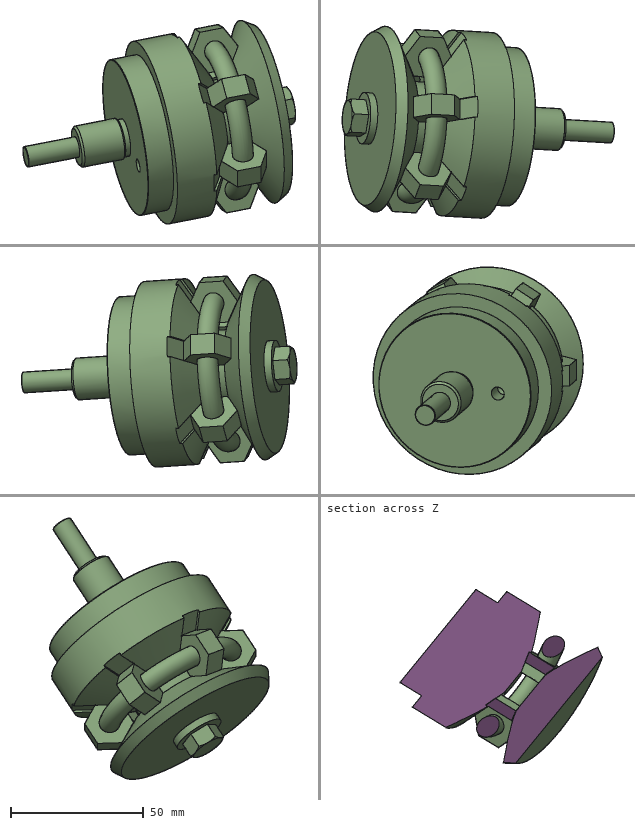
import cadquery as cq
import math


outer_diameter = 70.5
flank_angle = math.radians(30)

jaw_count = 6
hex_sides = 6
jaw_across_flats = 16.0
jaw_thickness = 8.0
ring_radius = 4.0

slot_depth = 1.0

hub_radius = 15.0
plate_back_y = 17.9

housing_body_length = 15.6
spigot_radius = 30.0
spigot_length = 10.0
spigot_chamfer = 0.2
blind_hole_radius = 2.5
blind_hole_offset = 17.0
blind_hole_depth = 8.4
drill_tip_half_angle = math.radians(59)

total_length = 104.7
washer_radius = 9.7
washer_thickness = 2.8
hex_across_flats = 12.8
hex_height = 6.3
hex_chamfer_angle = math.radians(30)
shank_radius = 7.2
neck_length = 2.0
collar_radius = 8.0
collar_length = 17.2
collar_rear_chamfer = 0.6
collar_front_chamfer = 0.8
tip_radius = 4.0
tip_chamfer = 0.2

outer_radius = outer_diameter / 2
flank_slope = math.tan(flank_angle)
jaw_apothem = jaw_across_flats / 2
jaw_half_side = jaw_apothem * math.tan(math.pi / hex_sides)
jaw_circle_radius = outer_radius - jaw_apothem
cone_small_radius = jaw_circle_radius - jaw_apothem
cone_length = (outer_radius - cone_small_radius) * flank_slope

plate_rim_y = jaw_half_side + cone_length
plate_back_radius = outer_radius - (plate_back_y - plate_rim_y) * flank_slope

slot_rim_y = -plate_rim_y
housing_rim_y = slot_rim_y + slot_depth / math.cos(flank_angle)
housing_nose_y = housing_rim_y + cone_length
housing_step_y = housing_rim_y - housing_body_length
housing_front_y = housing_step_y - spigot_length

washer_back_y = plate_back_y + washer_thickness
hex_top_y = washer_back_y + hex_height
collar_rear_y = housing_front_y - neck_length
collar_front_y = collar_rear_y - collar_length
tip_y = hex_top_y - total_length


def revolve_about_y(points):
    """Solid of revolution about Y from a closed (radius, y) outline."""
    return cq.Workplane("XY").polyline(points).close().revolve(360, (0, 0, 0), (0, 1, 0))


def corner_diameter(across_flats):
    """Diameter through the corners of a regular hexagon."""
    return across_flats / math.cos(math.pi / hex_sides)


def around_axis(body):
    """Copies of a body at the angle of every jaw."""
    return [body.rotate((0, 0, 0), (0, 1, 0), i * 360 / jaw_count) for i in range(jaw_count)]


def make_housing():
    """Front cone with its spigot, jaw slots, through bore and drilled blind hole."""
    housing = revolve_about_y([
        (shank_radius, housing_nose_y),
        (cone_small_radius, housing_nose_y),
        (outer_radius, housing_rim_y),
        (outer_radius, housing_step_y),
        (spigot_radius, housing_step_y),
        (spigot_radius, housing_front_y + spigot_chamfer),
        (spigot_radius - spigot_chamfer, housing_front_y),
        (shank_radius, housing_front_y),
    ])

    floor_inner_radius = cone_small_radius - (housing_nose_y + jaw_half_side) / flank_slope
    floor_outer_radius = outer_radius + slot_depth
    floor_outer_y = slot_rim_y - slot_depth * flank_slope
    slot = (
        cq.Workplane("XY")
        .moveTo(floor_inner_radius, housing_nose_y)
        .lineTo(floor_outer_radius, floor_outer_y)
        .lineTo(floor_outer_radius, housing_nose_y)
        .close()
        .extrude(jaw_thickness / 2, both=True)
    )
    for cutter in around_axis(slot):
        housing = housing.cut(cutter)

    drill_tip_length = blind_hole_radius / math.tan(drill_tip_half_angle)
    hole_end_y = housing_front_y + blind_hole_depth
    drill = revolve_about_y([
        (0, housing_front_y),
        (blind_hole_radius, housing_front_y),
        (blind_hole_radius, hole_end_y),
        (0, hole_end_y + drill_tip_length),
    ]).translate((blind_hole_offset, 0, 0))
    return housing.cut(drill)


def make_clamp_plate():
    """Rear cone with a bevelled back edge and a hub that rests on the nose of the housing."""
    return revolve_about_y([
        (shank_radius, plate_back_y),
        (plate_back_radius, plate_back_y),
        (outer_radius, plate_rim_y),
        (cone_small_radius, jaw_half_side),
        (hub_radius, jaw_half_side),
        (hub_radius, housing_nose_y),
        (shank_radius, housing_nose_y),
    ])


def make_jaw_ring():
    """Six hexagonal jaws strung on a round ring, as one solid."""
    jaw_ring = cq.Workplane(cq.Solid.makeTorus(
        jaw_circle_radius, ring_radius, cq.Vector(0, 0, 0), cq.Vector(0, 1, 0)
    ))
    jaw = (
        cq.Workplane("XY")
        .polygon(hex_sides, corner_diameter(jaw_across_flats))
        .extrude(jaw_thickness / 2, both=True)
        .rotate((0, 0, 0), (0, 0, 1), 180 / hex_sides)
        .translate((jaw_circle_radius, 0, 0))
    )
    for copy in around_axis(jaw):
        jaw_ring = jaw_ring.union(copy)
    return jaw_ring


def make_arbor():
    """Stepped shaft with a collar and tip in front, and a flanged hexagon head behind."""
    shaft = revolve_about_y([
        (0, washer_back_y),
        (washer_radius, washer_back_y),
        (washer_radius, plate_back_y),
        (shank_radius, plate_back_y),
        (shank_radius, collar_rear_y),
        (collar_radius - collar_rear_chamfer, collar_rear_y),
        (collar_radius, collar_rear_y - collar_rear_chamfer),
        (collar_radius, collar_front_y + collar_front_chamfer),
        (collar_radius - collar_front_chamfer, collar_front_y),
        (tip_radius, collar_front_y),
        (tip_radius, tip_y + tip_chamfer),
        (tip_radius - tip_chamfer, tip_y),
        (0, tip_y),
    ])

    head = (
        cq.Workplane("XZ", origin=(0, hex_top_y, 0))
        .polygon(hex_sides, corner_diameter(hex_across_flats))
        .extrude(hex_height)
    )
    face_radius = hex_across_flats / 2
    base_radius = face_radius + hex_height / math.tan(hex_chamfer_angle)
    corner_cone = revolve_about_y([
        (0, hex_top_y),
        (face_radius, hex_top_y),
        (base_radius, washer_back_y),
        (0, washer_back_y),
    ])
    return shaft.union(head.intersect(corner_cone))


housing = make_housing().solids()
clamp_plate = make_clamp_plate().solids()
jaw_ring = make_jaw_ring().solids()
arbor = make_arbor().solids()

result = cq.Compound.makeCompound([housing.val(), clamp_plate.val(), jaw_ring.val(), arbor.val()])